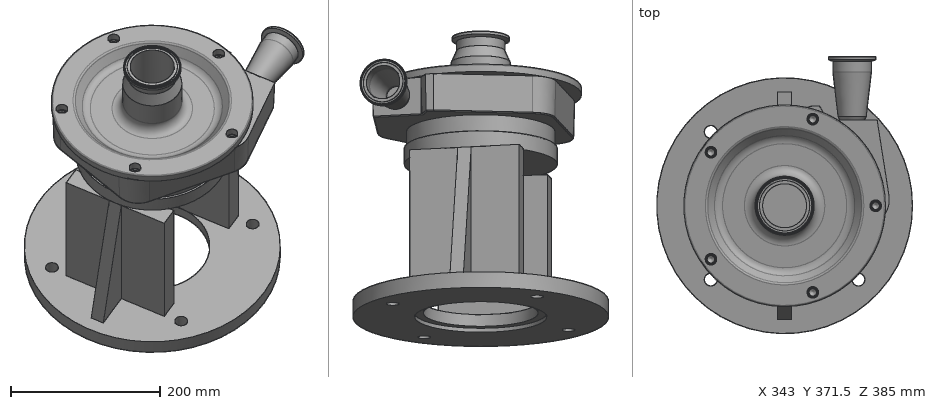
import cadquery as cq
import math

base_top = 21.5
shaft_housing_bottom = 200.5
disc_bottom = 210.2
disc_top = 232.0
volute_bottom = 255.0
volute_top = 306.0
cover_top = 316.5
inlet_cone_bottom = 350.5
inlet_cone_top = 366.0
total_height = 385.0

total_depth = 371.5

base_diameter = 343.0
base_radius = base_diameter / 2
base_opening_radius = 77.0
base_recess_radius = 88.5
base_recess_depth = 5.5
base_hole_offset = 99.0
base_hole_radius = 8.5

disc_diameter = 205.2
disc_radius = disc_diameter / 2
leg_width = 150.0
leg_inner_y = 76.2
rib_width = 18.5
rib_foot_y = 152.5

neck_radius = 99.7

corner_count = 5
corner_step = 360 / corner_count
face_distance = 115.5
corner_radius = 35.8
volute_draft = 1.6
volute_edge = 1.5
outlet_wall_y = 115.0
outlet_block_corner = (124.0, outlet_wall_y)
outlet_side_corner = (142.0, -0.8)
pad_left_x = 35.8
pad_right_x = 47.0
pad_y = 133.5
pad_foot_x = 57.0

cover_radius = 135.0
cover_edge = 1.5
dish_floor_z = 300.3
dish_rim_radius = 106.5
dish_wall_top_radius = 103.0
dish_wall_bottom_radius = 94.0
dish_floor_radius = 83.0
dish_wall_angle = 45.0
inlet_fillet_outer_radius = 54.0

bolt_circle_radius = 122.0
bolt_hole_radius = 7.7
tapped_hole_radius = 5.0
tapped_hole_mouth = 1.35
tapped_hole_depth = 23.0
drill_tip_angle = 118.0

pipe_wall = 3.0
inlet_base_radius = 39.5
inlet_pipe_diameter = 65.0
inlet_pipe_radius = inlet_pipe_diameter / 2
inlet_ferrule_radius = 38.5
outlet_axis_x = 90.5
outlet_axis_rise = 1.0
outlet_axis_z = (volute_bottom + volute_top) / 2 + outlet_axis_rise
outlet_end_y = total_depth - base_radius
outlet_cone_end_y = 179.5
outlet_cone_start_y = 119.5
outlet_root_overlap = 4.0
outlet_root_radius = 16.5
outlet_cone_start_radius = 19.0
outlet_pipe_diameter = 52.0
outlet_pipe_radius = outlet_pipe_diameter / 2
outlet_ferrule_diameter = 63.5
outlet_ferrule_radius = outlet_ferrule_diameter / 2
ferrule_rim = 4.2
ferrule_back = 2.5
ferrule_edge = 0.8
groove_inset = 4.2
groove_width = 2.7
groove_depth = 1.0


def cylinder(radius, bottom, top):
    return cq.Workplane("XY").workplane(offset=bottom).circle(radius).extrude(top - bottom)


def make_base():
    """Round base plate with four mounting holes and a central opening, recessed from below."""
    corners = [(sx * base_hole_offset, sy * base_hole_offset) for sx in (-1, 1) for sy in (-1, 1)]
    holes = cq.Workplane("XY").pushPoints(corners).circle(base_hole_radius).extrude(base_top)
    opening = cylinder(base_opening_radius, 0, base_top)
    recess = cylinder(base_recess_radius, 0, base_recess_depth)
    return cylinder(base_radius, 0, base_top).cut(opening).cut(recess).cut(holes)


def make_leg(side):
    """Upright plate with a tapering rib; side is +1 for +Y and -1 for -Y."""
    plate = cq.Workplane("XY").box(
        leg_width, disc_radius - leg_inner_y, disc_bottom - base_top, centered=(True, True, False)
    )
    plate = plate.translate((0, side * (leg_inner_y + disc_radius) / 2, base_top))
    rib = (
        cq.Workplane("YZ")
        .moveTo(side * disc_radius, base_top)
        .lineTo(side * rib_foot_y, base_top)
        .lineTo(side * disc_radius, disc_bottom)
        .close()
        .extrude(rib_width / 2, both=True)
    )
    return plate.union(rib)


def corner_point(index):
    """Sharp corner of the pentagon; index 0 lies on +X."""
    radius = face_distance / math.cos(math.radians(corner_step / 2))
    angle = math.radians(corner_step * index)
    return (radius * math.cos(angle), radius * math.sin(angle))


def make_volute():
    """Casing that narrows downwards, with a squared-off block carrying the outlet."""
    rounded_corners = [corner_point(index) for index in (2, 3, 4)] + [outlet_side_corner]
    outline = [
        (pad_left_x, pad_y),
        *rounded_corners,
        outlet_block_corner,
        (pad_foot_x, outlet_wall_y),
        (pad_right_x, pad_y),
    ]
    face = cq.Sketch().polygon(outline + outline[:1])
    for x, y in rounded_corners:
        nearest = cq.selectors.NearestToPointSelector((x, y, 0))
        face = face.reset().vertices(nearest).fillet(corner_radius)
    volute = (
        cq.Workplane("XY")
        .workplane(offset=volute_top)
        .placeSketch(face.reset())
        .extrude(-(volute_top - volute_bottom), taper=volute_draft)
    )
    return volute.faces("<Z").edges().chamfer(volute_edge)


def make_cover():
    """Round cover plate with a rounded upper edge."""
    return cylinder(cover_radius, volute_top, cover_top).faces(">Z").edges().fillet(cover_edge)


def make_dish():
    """Annular recess of the cover: rounded rim, sloping wall, rounded floor, fillet up to the inlet."""
    slope = math.radians(dish_wall_angle)
    drop_ratio = (1 - math.sin(slope)) / math.cos(slope)
    rim_drop = (dish_rim_radius - dish_wall_top_radius) * drop_ratio
    floor_run = dish_wall_bottom_radius - dish_floor_radius
    floor_rise = floor_run * drop_ratio
    fillet_radius = inlet_fillet_outer_radius - inlet_base_radius
    profile = (
        cq.Workplane("XZ")
        .moveTo(inlet_base_radius, cover_top)
        .lineTo(inlet_base_radius, dish_floor_z + fillet_radius)
        .tangentArcPoint((fillet_radius, -fillet_radius))
        .lineTo(dish_floor_radius, dish_floor_z)
        .tangentArcPoint((floor_run, floor_rise))
        .lineTo(dish_wall_top_radius, cover_top - rim_drop)
        .tangentArcPoint((dish_rim_radius - dish_wall_top_radius, rim_drop))
        .close()
    )
    return profile.revolve(360, (0, 0, 0), (0, 1, 0))


def cut_bolt_holes(body):
    """Clearance holes through the cover, each above a blind, chamfered tapped hole with a drill tip."""
    tip_depth = tapped_hole_radius / math.tan(math.radians(drill_tip_angle / 2))
    thread_bottom = volute_top - tapped_hole_depth
    hole = (
        cq.Workplane("XZ")
        .moveTo(0, cover_top)
        .lineTo(bolt_hole_radius, cover_top)
        .lineTo(bolt_hole_radius, volute_top)
        .lineTo(tapped_hole_radius + tapped_hole_mouth, volute_top)
        .lineTo(tapped_hole_radius, volute_top - tapped_hole_mouth)
        .lineTo(tapped_hole_radius, thread_bottom)
        .lineTo(0, thread_bottom - tip_depth)
        .close()
        .revolve(360, (0, 0, 0), (0, 1, 0))
        .translate((bolt_circle_radius, 0, 0))
    )
    for index in range(corner_count):
        body = body.cut(hole.rotate((0, 0, 0), (0, 0, 1), corner_step * index))
    return body


def turn(points):
    """Solid turned about Z from (radius, height) points."""
    return cq.Workplane("XZ").polyline(points).close().revolve(360, (0, 0, 0), (0, 1, 0))


def pipe_outer(foot_points, pipe_radius, ferrule_radius, end):
    """Pipe along Z with a clamp ferrule at its end."""
    rim_back = end - ferrule_rim
    ferrule_points = [
        (pipe_radius, rim_back - ferrule_back),
        (ferrule_radius, rim_back),
        (ferrule_radius, end - ferrule_edge),
        (ferrule_radius - ferrule_edge, end),
        (0, end),
    ]
    return turn([(0, foot_points[0][1])] + foot_points + ferrule_points)


def gasket_groove(pipe_radius, end):
    """Shallow ring groove in the face of a ferrule."""
    inner = pipe_radius - pipe_wall + groove_inset
    outer = inner + groove_width
    bottom = end - groove_depth
    return turn([(inner, bottom), (outer, bottom), (outer, end), (inner, end)])


def place_on_outlet(shape):
    """Lay a shape built along Z onto the outlet axis, pointing to +Y."""
    return shape.rotate((0, 0, 0), (1, 0, 0), -90).translate((outlet_axis_x, 0, outlet_axis_z))


def add_inlet(body):
    """Vertical inlet pipe, bored down to the level of the dish floor."""
    foot_points = [
        (inlet_base_radius, dish_floor_z),
        (inlet_base_radius, inlet_cone_bottom),
        (inlet_pipe_radius, inlet_cone_top),
    ]
    outer = pipe_outer(foot_points, inlet_pipe_radius, inlet_ferrule_radius, total_height)
    bore = cylinder(inlet_pipe_radius - pipe_wall, dish_floor_z, total_height)
    return body.union(outer).cut(bore).cut(gasket_groove(inlet_pipe_radius, total_height))


def add_outlet(body):
    """Conical outlet pipe on the +Y wall of the outlet block, bored up to that wall.

    Its root reaches into the block, because the wall leans inwards.
    """
    foot_points = [
        (outlet_root_radius, outlet_wall_y - outlet_root_overlap),
        (outlet_root_radius, outlet_wall_y),
        (outlet_cone_start_radius, outlet_cone_start_y),
        (outlet_pipe_radius, outlet_cone_end_y),
    ]
    outer = pipe_outer(foot_points, outlet_pipe_radius, outlet_ferrule_radius, outlet_end_y)
    bore_start_radius = outlet_root_radius - pipe_wall
    bore_end_radius = outlet_pipe_radius - pipe_wall
    bore = turn([
        (0, outlet_wall_y),
        (bore_start_radius, outlet_wall_y),
        (bore_start_radius, outlet_cone_start_y),
        (bore_end_radius, outlet_cone_end_y),
        (bore_end_radius, outlet_end_y),
        (0, outlet_end_y),
    ])
    groove = gasket_groove(outlet_pipe_radius, outlet_end_y)
    return body.union(place_on_outlet(outer)).cut(place_on_outlet(bore.union(groove)))


stand = make_base().union(make_leg(1)).union(make_leg(-1))
shaft_housing = cylinder(inlet_base_radius, shaft_housing_bottom, disc_bottom)
disc = cylinder(disc_radius, disc_bottom, disc_top)
neck = cylinder(neck_radius, disc_top, volute_bottom)
casing = make_volute().union(make_cover()).cut(make_dish())
body = stand.union(disc).union(shaft_housing).union(neck).union(casing)
body = cut_bolt_holes(body)
body = add_inlet(body)
result = add_outlet(body)